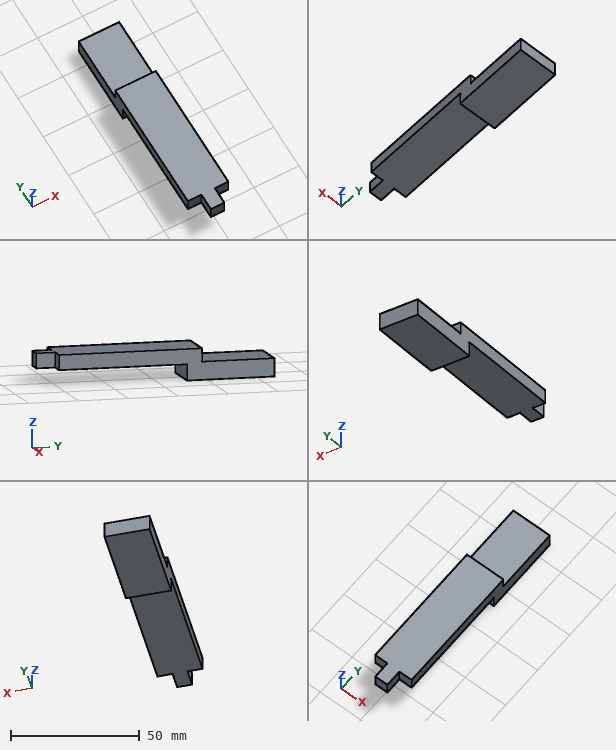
import cadquery as cq

width = 18.0
length = 93.9
height = 12.5

upper_thickness = 6.0
tab_width = 6.0
tab_length = 7.5

lower_thickness = 7.2
lower_length = 35.0
step_length = 29.0


def bar(bar_width, y_start, y_end, z_bottom, thickness):
    """Box centred on X, spanning y_start to y_end and rising from z_bottom."""
    return (
        cq.Workplane("XY")
        .box(bar_width, y_end - y_start, thickness, centered=(True, False, False))
        .translate((0, y_start, z_bottom))
    )


upper_bottom = height - upper_thickness
upper_end = length - step_length

tab = bar(tab_width, 0, tab_length, upper_bottom, upper_thickness)
upper_bar = bar(width, tab_length, upper_end, upper_bottom, upper_thickness)
lower_bar = bar(width, length - lower_length, length, 0, lower_thickness)

result = upper_bar.union(tab).union(lower_bar)